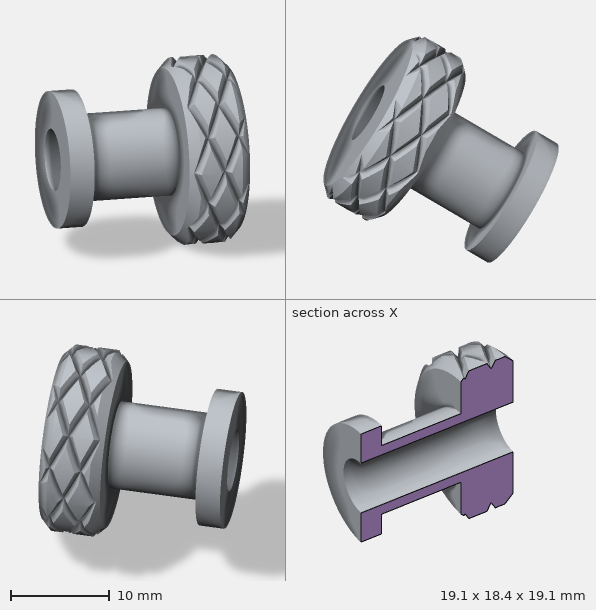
import cadquery as cq
import math

knob_diameter = 19.05
knob_length = 6.35
knob_chamfer = 1.01
neck_diameter = 8.9
neck_length = 9.52
flange_diameter = 13.96
flange_thickness = 2.53
bore_diameter = 6.35

grooves_per_hand = 8
row_pitch = 1.6
first_row_offset = 0.48
rows_on_knob = 4
groove_depth = 0.88
groove_angle = 56.0
cutter_margin = 0.23

knob_radius = knob_diameter / 2
knob_start = flange_thickness + neck_length
total_length = knob_start + knob_length

groove_spacing_angle = 360.0 / grooves_per_hand
groove_bottom_radius = knob_radius - groove_depth
groove_start = knob_start + first_row_offset
groove_length = (rows_on_knob + 1) * row_pitch
helix_pitch = 2 * grooves_per_hand * row_pitch


def disc(diameter, start, length):
    """Cylinder about Y that begins at Y = start and grows towards +Y."""
    plane = cq.Plane(origin=(0, start, 0), xDir=(1, 0, 0), normal=(0, 1, 0))
    return cq.Workplane(plane).circle(diameter / 2).extrude(length)


def groove_cutter(left_hand):
    """Helical V cutter about Y that starts at the +X side of the knob."""
    path = cq.Wire.makeHelix(helix_pitch, groove_length, groove_bottom_radius, lefthand=left_hand)
    hand = -1 if left_hand else 1
    travel = cq.Vector(0, hand * 2 * math.pi * groove_bottom_radius, helix_pitch)
    profile_plane = cq.Plane(origin=(groove_bottom_radius, 0, 0), xDir=(1, 0, 0), normal=travel)
    height = groove_depth + cutter_margin
    half_width = height * math.tan(math.radians(groove_angle / 2))
    corners = [(0, 0), (height, half_width), (height, -half_width)]
    profile = cq.Workplane(profile_plane).polyline(corners).close()
    cutter = profile.sweep(cq.Workplane(path), isFrenet=True)
    return cutter.rotate((0, 0, 0), (1, 0, 0), -90).translate((0, groove_start, 0))


knob = disc(knob_diameter, knob_start, knob_length).edges().chamfer(knob_chamfer)
for left_hand in (False, True):
    cutter = groove_cutter(left_hand)
    for index in range(grooves_per_hand):
        knob = knob.cut(cutter.rotate((0, 0, 0), (0, 1, 0), index * groove_spacing_angle))

neck = disc(neck_diameter, flange_thickness, neck_length)
flange = disc(flange_diameter, 0, flange_thickness)
bore = disc(bore_diameter, 0, total_length)

result = knob.union(neck).union(flange).cut(bore)